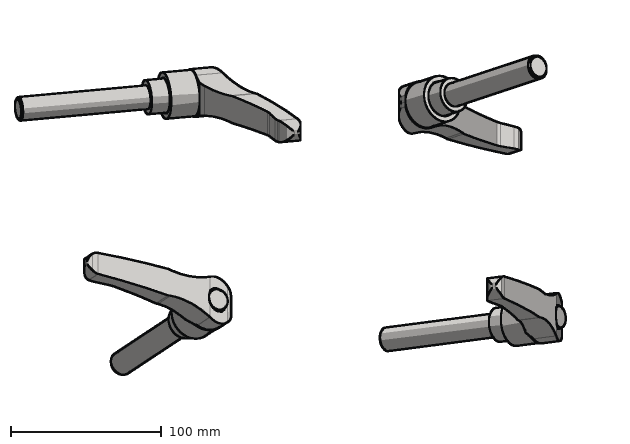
import cadquery as cq
import math

total_height = 162.6
collar_base = 89.8
hub_base = 102.0
head_base = 121.6
flat_top = 126.5
pin_top = 138.7

stud_dia = 16.0
collar_dia = 23.0
collar_bore_dia = 23.7
hub_dia = 31.0
head_dia = 32.0
screw_bore_dia = 16.0
screw_pin_dia = 14.3

stud_chamfer = 1.1
collar_bore_depth = 6.5

hub_radius = hub_dia / 2
head_radius = head_dia / 2
hub_bulge_half_width = 0.7
head_flat_x = -math.sqrt(hub_radius**2 - hub_bulge_half_width**2)
lever_end_x = 125.4 - hub_radius
tip_start_x = 102.5
tip_half_width = 7.5
neck_x = 7.2
grip_start_x = 42.8
grip_x = 44.7
grip_start_half_width = 9.1
grip_half_width = 9.5
extrusion_half_depth = 24.4


def cylinder(diameter, y_low, y_high):
    """Cylinder on the stud axis between two levels."""
    return cq.Workplane("XZ", origin=(0, y_high, 0)).circle(diameter / 2).extrude(y_high - y_low)


def lever_side_body():
    """Curved lever profile in XY, wider in Z than the finished lever."""
    return (
        cq.Workplane("XY")
        .moveTo(head_flat_x, head_base)
        .lineTo(head_flat_x, flat_top)
        .threePointArc((-13.8, 130.9), (-9.8, 133.7))
        .lineTo(neck_x, 140.5)
        .threePointArc((52.0, 154.0), (tip_start_x, 162.0))
        .lineTo(107.0, total_height)
        .threePointArc((109.1, 161.5), (lever_end_x, 159.4))
        .lineTo(lever_end_x, 157.6)
        .threePointArc((107.3, 151.9), (102.8, 148.8))
        .lineTo(101.8, 148.3)
        .threePointArc((99.7, 147.8), (97.5, 147.7))
        .lineTo(86.2, 147.7)
        .lineTo(83.1, 147.3)
        .threePointArc((49.8, 136.8), (20.0, 123.8))
        .lineTo(hub_radius, head_base)
        .close()
        .extrude(extrusion_half_depth, both=True)
    )


def lever_plan_body():
    """Round head, concave neck and tapered grip in XZ, through the lever height."""
    neck_z = math.sqrt(head_radius**2 - neck_x**2)
    return (
        cq.Workplane("XZ", origin=(0, total_height, 0))
        .moveTo(neck_x, neck_z)
        .threePointArc((-head_radius, 0), (neck_x, -neck_z))
        .threePointArc((22.0, -10.0), (grip_start_x, -grip_start_half_width))
        .lineTo(grip_x, -grip_half_width)
        .lineTo(tip_start_x, -tip_half_width)
        .threePointArc((lever_end_x, 0), (tip_start_x, tip_half_width))
        .lineTo(grip_x, grip_half_width)
        .lineTo(grip_start_x, grip_start_half_width)
        .threePointArc((22.0, 10.0), (neck_x, neck_z))
        .close()
        .extrude(total_height - head_base)
    )


lever = lever_side_body().intersect(lever_plan_body())
hub = cylinder(hub_dia, hub_base, flat_top)
handle = lever.union(hub)

handle = handle.cut(cylinder(screw_bore_dia, head_base, total_height))
handle = handle.cut(cylinder(collar_bore_dia, hub_base, hub_base + collar_bore_depth))

stud = cylinder(stud_dia, 0, hub_base).faces("<Y").chamfer(stud_chamfer)
collar = cylinder(collar_dia, collar_base, head_base)
screw_pin = cylinder(screw_pin_dia, hub_base, pin_top)

result = handle.union(stud).union(collar).union(screw_pin)